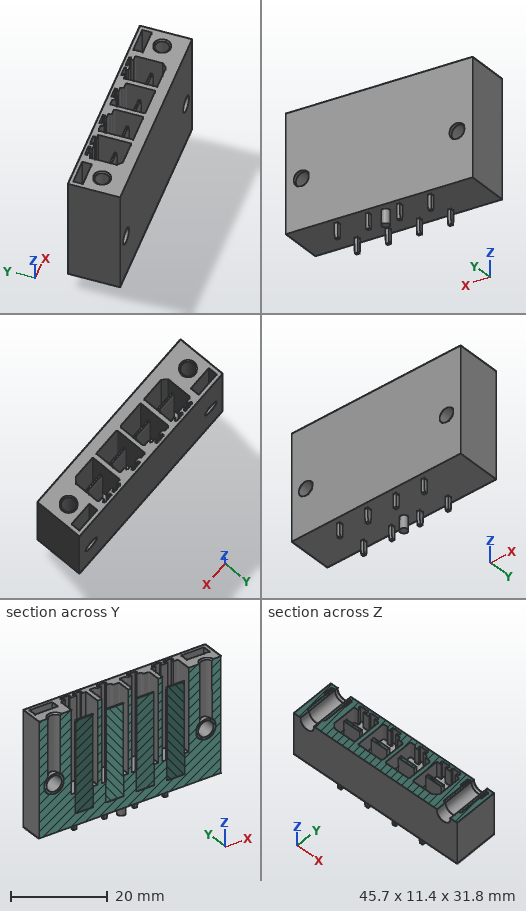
import cadquery as cq


pitch = 7.62
positions = 4

housing_length = (positions + 2) * pitch
housing_width = 11.4
housing_height = 28.3

fixing_x = (positions + 1) / 2 * pitch
cross_bore_dia = 3.7
cross_bore_z = 12.0
screw_hole_dia = 3.1
screw_hole_rim_dia = 3.75
screw_hole_rim_depth = (screw_hole_rim_dia - screw_hole_dia) / 2
screw_hole_y = -0.46
slot_length = 5.7
slot_width = 2.1
slot_y = 3.8

bushing_dia = 4.8
bushing_front_y = -3.0
bushing_back_y = slot_y + slot_width / 2

cavity_floor_z = 8.0
cavity_depth = housing_height - cavity_floor_z
cavity_half_width = 3.25
cavity_front_y = -3.13
cavity_corner_radius = 0.3
ledge_y = 4.03

end_shoulder_y = 3.87
end_inner_shoulder_y = 4.16
end_chamfer = 1.0
end_key_offset = 1.47

middle_shoulder_y = 3.29
middle_ledge_right_x = 1.8
middle_notch_right_x = -1.85
middle_notch_y = 4.5
middle_corner_radius = 0.25
middle_inner_radius = 0.2
middle_wide_half_width = 3.32

key_stem_width = 1.24
key_bar_width = 2.25
key_bar_bottom_y = 4.52
key_top_y = 4.98
key_bar_height = key_top_y - key_bar_bottom_y

blade_width = 4.4
blade_thickness = 0.8
blade_tip_thickness = 0.4
blade_taper_length = 1.5
blade_tip_z = housing_height - 2.9
leg_size_x = 0.8
leg_size_y = 1.0
leg_spacing = pitch
leg_length = 3.5
leg_taper_length = 1.0
leg_taper_inset = 0.15
foot_height = 1.0
foot_bottom_z = 3.0

peg_dia = 1.9
peg_length = 3.4
peg_y = 3.15
peg_socket_depth = 2.0


def block(x_min, x_max, y_min, y_max, z_min, z_max):
    """Rectangular block between the given limits."""
    return (
        cq.Workplane("XY")
        .box(x_max - x_min, y_max - y_min, z_max - z_min, centered=False)
        .translate((x_min, y_min, z_min))
    )


def cavity_block(x_min, x_max, y_min, y_max):
    """Block reaching from the cavity floor to the top of the housing."""
    return block(x_min, x_max, y_min, y_max, cavity_floor_z, housing_height)


def coding_groove(x, rounded_ends):
    """T-shaped groove in the back wall of a cavity, its bar square or round at the ends."""
    stem = cavity_block(x - key_stem_width / 2, x + key_stem_width / 2, 0, key_top_y)
    bar_y = (key_bar_bottom_y + key_top_y) / 2
    bar = cq.Workplane("XY", origin=(x, bar_y, cavity_floor_z))
    if rounded_ends:
        bar = bar.slot2D(key_bar_width, key_bar_height)
    else:
        bar = bar.rect(key_bar_width, key_bar_height)
    return stem.union(bar.extrude(cavity_depth))


def end_cavity():
    """Cavity of the first position; the last position is its mirror image."""
    outer = cavity_block(-cavity_half_width, 0, cavity_front_y, end_shoulder_y)
    outer = outer.edges("|Z and <X and <Y").chamfer(end_chamfer)
    outer = outer.edges("|Z and <X and >Y").fillet(cavity_corner_radius)
    inner = cavity_block(0, cavity_half_width, cavity_front_y, end_inner_shoulder_y)
    ledge = cavity_block(-end_key_offset, end_key_offset, 0, ledge_y)
    ledge_bar = cavity_block(0, end_key_offset, ledge_y, end_inner_shoulder_y)
    cavity = outer.union(inner).cut(ledge_bar).union(ledge)
    cavity = cavity.union(coding_groove(-end_key_offset, False))
    return cavity.union(coding_groove(end_key_offset, True))


def middle_cavity(rounded_side):
    """Stepped cavity; on the rounded_side (-1 or 1) it is wider and its front corner is rounded."""
    left_x = -middle_wide_half_width if rounded_side < 0 else -cavity_half_width
    right_x = middle_wide_half_width if rounded_side > 0 else cavity_half_width
    main = cavity_block(left_x, right_x, cavity_front_y, middle_shoulder_y)
    front_corner = "|Z and <Y and " + (">X" if rounded_side > 0 else "<X")
    main = main.edges(front_corner).fillet(cavity_corner_radius)
    main = main.edges("|Z and >X and >Y").fillet(cavity_corner_radius)
    ledge = cavity_block(left_x, middle_ledge_right_x, 0, ledge_y)
    ledge = ledge.edges("|Z and >X and >Y").fillet(middle_corner_radius)
    notch = cavity_block(left_x, middle_notch_right_x, 0, middle_notch_y)
    notch = notch.edges("|Z and >Y").fillet(middle_corner_radius)
    cavity = main.union(ledge).union(notch)
    mid_z = cavity_floor_z + cavity_depth / 2
    for x, y in ((middle_ledge_right_x, middle_shoulder_y), (middle_notch_right_x, ledge_y)):
        cavity = cavity.edges(cq.NearestToPointSelector((x, y, mid_z))).fillet(middle_inner_radius)
    return cavity.union(coding_groove(0, False))


def cross_cylinder(x, diameter, y_min, y_max):
    """Cylinder along Y at the height of the cross bores."""
    return (
        cq.Workplane("XZ", origin=(x, y_min, cross_bore_z))
        .circle(diameter / 2)
        .extrude(-(y_max - y_min))
    )


def contact_leg(y):
    """Solder leg whose front and back faces taper towards the tip."""
    half = leg_size_y / 2
    tip_half = half - leg_taper_inset
    taper_z = -leg_length + leg_taper_length
    side_outline = [
        (y - half, foot_bottom_z),
        (y - half, taper_z),
        (y - tip_half, -leg_length),
        (y + tip_half, -leg_length),
        (y + half, taper_z),
        (y + half, foot_bottom_z),
    ]
    return cq.Workplane("YZ").polyline(side_outline).close().extrude(leg_size_x / 2, both=True)


def contact_blade():
    """Flat blade whose broad faces taper towards the tip."""
    half = blade_thickness / 2
    tip_half = blade_tip_thickness / 2
    taper_z = blade_tip_z - blade_taper_length
    side_outline = [
        (-half, foot_bottom_z),
        (-half, taper_z),
        (-tip_half, blade_tip_z),
        (tip_half, blade_tip_z),
        (half, taper_z),
        (half, foot_bottom_z),
    ]
    return cq.Workplane("YZ").polyline(side_outline).close().extrude(blade_width / 2, both=True)


def contact(x):
    """Flat blade standing on a foot that joins a front and a back solder leg."""
    foot_top_z = foot_bottom_z + foot_height
    foot_half_length = (leg_spacing + leg_size_y) / 2
    foot = block(
        -leg_size_x / 2, leg_size_x / 2, -foot_half_length, foot_half_length, foot_bottom_z, foot_top_z
    )
    body = foot.union(contact_blade())
    for y in (-leg_spacing / 2, leg_spacing / 2):
        body = body.union(contact_leg(y))
    return body.translate((x, 0, 0))


def bushing(x):
    """Plain bushing lying along Y under the screw hole and the slot."""
    sleeve = cross_cylinder(x, bushing_dia, bushing_front_y, bushing_back_y)
    return sleeve.cut(cross_cylinder(x, cross_bore_dia, bushing_front_y, bushing_back_y))


def locating_peg():
    """Round peg set into the underside of the housing."""
    return (
        cq.Workplane("XY", origin=(0, peg_y, -peg_length))
        .circle(peg_dia / 2)
        .extrude(peg_length + peg_socket_depth)
    )


def fixing_cutout(x):
    """Cross bore, bushing seat, rimmed screw hole and slot at one end of the housing."""
    bore = cross_cylinder(x, cross_bore_dia, -housing_width / 2, housing_width / 2)
    seat = cross_cylinder(x, bushing_dia, bushing_front_y, bushing_back_y)
    screw_hole = (
        cq.Workplane("XY", origin=(x, screw_hole_y, cross_bore_z))
        .circle(screw_hole_dia / 2)
        .extrude(housing_height - cross_bore_z)
    )
    rim = (
        cq.Workplane("XY", origin=(x, screw_hole_y, housing_height))
        .circle(screw_hole_rim_dia / 2)
        .workplane(offset=-screw_hole_rim_depth)
        .circle(screw_hole_dia / 2)
        .loft()
    )
    slot = block(
        x - slot_length / 2, x + slot_length / 2,
        slot_y - slot_width / 2, slot_y + slot_width / 2,
        cross_bore_z, housing_height,
    )
    return bore.union(seat).union(screw_hole).union(rim).union(slot)


contact_xs = [(i - (positions - 1) / 2) * pitch for i in range(positions)]
fixing_xs = [-fixing_x, fixing_x]

contacts = [contact(x) for x in contact_xs]
bushings = [bushing(x) for x in fixing_xs]
peg = locating_peg()

cavities = [end_cavity(), middle_cavity(1), middle_cavity(-1), end_cavity().mirror("YZ")]
housing = block(
    -housing_length / 2, housing_length / 2, -housing_width / 2, housing_width / 2, 0, housing_height
)
for x, cavity, contact_body in zip(contact_xs, cavities, contacts):
    housing = housing.cut(cavity.translate((x, 0, 0))).cut(contact_body)
for x in fixing_xs:
    housing = housing.cut(fixing_cutout(x))
housing = housing.cut(peg)

solids = [housing.val(), peg.val()]
solids += [body.val() for body in contacts + bushings]
result = cq.Compound.makeCompound(solids)